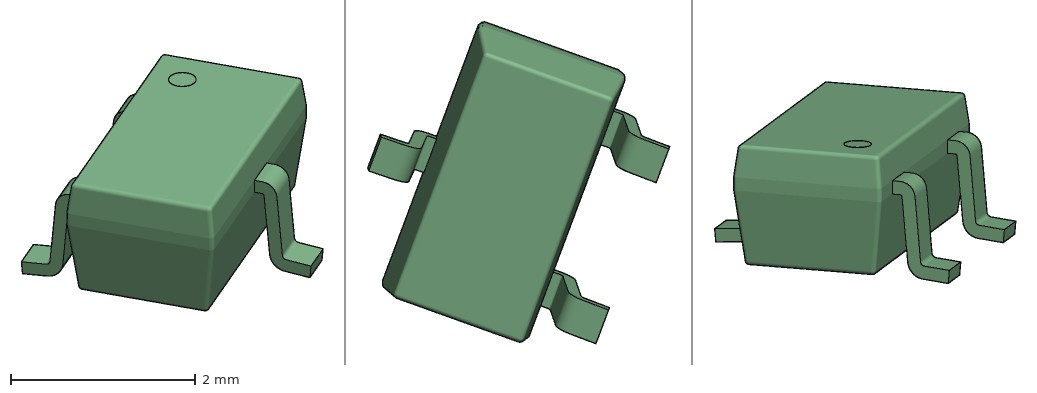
import cadquery as cq
import math

body_width = 1.7
body_length = 3.1
body_top = 1.45
body_bottom = 0.1
draft_angle = 7.0
edge_radius = 0.05

lead_thickness = 0.15
lead_width = 0.4
lead_top = 1.1
lead_span = 3.0
lead_pitch = 1.903
lead_embed = 0.093
lean_angle = 5.0
foot_length = 0.285
shoulder_inner_radius = 0.025
ankle_inner_radius = 0.05

mark_diameter = 0.3
mark_depth = 0.003
mark_x = -0.412
mark_y = 1.032

band_top = lead_top
band_bottom = lead_top - lead_thickness


def body_block(base_z, height, taper):
    """Rectangular block of the body, narrowing away from base_z by the taper angle."""
    return (
        cq.Workplane("XY")
        .workplane(offset=base_z)
        .rect(body_width, body_length)
        .extrude(height, taper=taper)
    )


def make_body():
    band = body_block(band_bottom, band_top - band_bottom, 0)
    upper = body_block(band_top, body_top - band_top, draft_angle)
    lower = body_block(-band_bottom, band_bottom - body_bottom, draft_angle)
    lower = lower.mirror("XY")
    body = band.union(upper).union(lower)
    corner_and_rim_edges = body.edges("(not #Z) or >Z or <Z")
    return corner_and_rim_edges.fillet(edge_radius)


def make_lead():
    """Gull-wing lead pointing to -X, swept along its centreline and centred on Y = 0."""
    half_thickness = lead_thickness / 2
    shoulder_radius = shoulder_inner_radius + half_thickness
    ankle_radius = ankle_inner_radius + half_thickness
    lean = math.radians(lean_angle)
    sin_lean = math.sin(lean)
    cos_lean = math.cos(lean)

    toe_x = -lead_span / 2 + half_thickness * sin_lean
    toe_z = half_thickness * cos_lean
    foot_x = toe_x + foot_length * cos_lean
    foot_z = toe_z + foot_length * sin_lean
    ankle_x = foot_x + ankle_radius * (cos_lean - sin_lean)
    ankle_z = foot_z + ankle_radius * (cos_lean - sin_lean)

    shoulder_z = lead_top - half_thickness
    knee_z = shoulder_z - shoulder_radius * (1 - sin_lean)
    knee_x = ankle_x + (knee_z - ankle_z) * math.tan(lean)
    shoulder_x = knee_x + shoulder_radius * cos_lean

    start_x = -body_width / 2 + lead_embed
    centreline = (
        cq.Workplane("XZ")
        .moveTo(start_x, shoulder_z)
        .lineTo(shoulder_x, shoulder_z)
        .tangentArcPoint((knee_x, knee_z), relative=False)
        .lineTo(ankle_x, ankle_z)
        .tangentArcPoint((foot_x, foot_z), relative=False)
        .lineTo(toe_x, toe_z)
    )
    section = cq.Workplane("YZ", origin=(start_x, 0, shoulder_z)).rect(lead_width, lead_thickness)
    return section.sweep(centreline)


def make_mark():
    return (
        cq.Workplane("XY", origin=(mark_x, mark_y, body_top - mark_depth))
        .circle(mark_diameter / 2)
        .extrude(mark_depth)
    )


lead = make_lead()
result = make_body()
for side in (-1, 1):
    result = result.union(lead.translate((0, side * lead_pitch / 2, 0)))
result = result.union(lead.mirror("YZ"))
result = result.cut(make_mark())